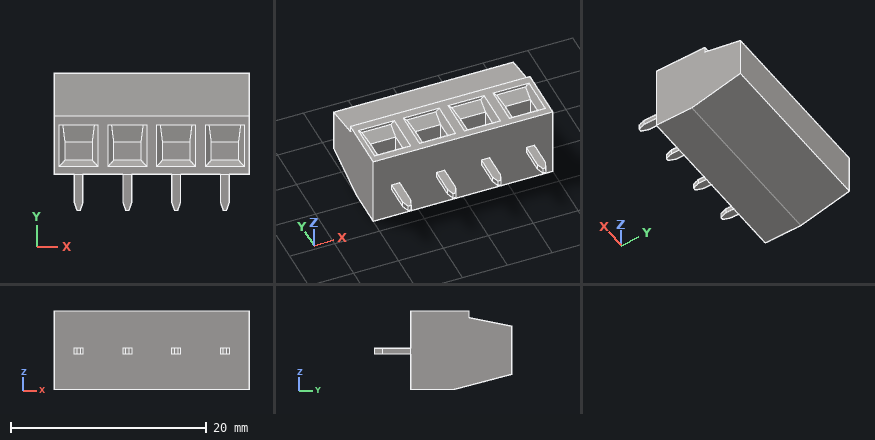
import cadquery as cq

pole_count = 4
pitch = 5.0
length = pole_count * pitch
depth = 10.4
height = 8.1
ridge_depth = 6.0
step_height = 0.7
base_depth = 4.4
rear_setback = 1.58

entry_width = 4.0
entry_front = 0.8
entry_length = 4.28
side_inset = 0.6
front_inset = 0.65
throat_length = 1.85
ledge_start = 0.38
funnel_depth = 0.6
throat_depth = 4.0

pin_width = 0.9
pin_thickness = 0.6
pin_length = 3.7
pin_tip_length = 0.8
pin_tip_width = 0.35
pin_center_z = 3.95

pole_centers = [pitch * (pole + 0.5) for pole in range(pole_count)]


def make_housing():
    profile = [
        (0, 0),
        (base_depth, 0),
        (depth, rear_setback),
        (depth, height - rear_setback),
        (ridge_depth, height - step_height),
        (ridge_depth, height),
        (0, height),
    ]
    return cq.Workplane("YZ").polyline(profile).close().extrude(length)


def make_entry(center_x):
    """Solid to cut: a funnel with a sloped rear ledge above a straight throat."""
    entry_back = entry_front + entry_length
    throat_front = entry_front + front_inset
    throat_back = throat_front + throat_length
    throat_width = entry_width - 2 * side_inset

    funnel_mid_y = (entry_front + entry_back) / 2
    throat_mid_y = (throat_front + entry_back) / 2
    funnel = (
        cq.Workplane("XY", origin=(center_x, funnel_mid_y, height))
        .rect(entry_width, entry_length)
        .workplane(offset=-funnel_depth)
        .center(0, throat_mid_y - funnel_mid_y)
        .rect(throat_width, entry_back - throat_front)
        .loft(ruled=True)
    )
    ledge_profile = [
        (entry_front, height),
        (entry_back, height),
        (entry_back, height - ledge_start),
        (throat_back, height - funnel_depth),
        (entry_front, height - funnel_depth),
    ]
    ledge_trim = (
        cq.Workplane("YZ", origin=(center_x - entry_width / 2, 0, 0))
        .polyline(ledge_profile)
        .close()
        .extrude(entry_width)
    )
    throat = (
        cq.Workplane("XY", origin=(center_x, throat_front, height - throat_depth))
        .box(throat_width, throat_length, throat_depth - funnel_depth, centered=(True, False, False))
    )
    return funnel.intersect(ledge_trim).union(throat)


def make_pin(center_x):
    half_width = pin_width / 2
    half_tip = pin_tip_width / 2
    shoulder_y = pin_tip_length - pin_length
    outline = [
        (-half_width, 0),
        (-half_width, shoulder_y),
        (-half_tip, -pin_length),
        (half_tip, -pin_length),
        (half_width, shoulder_y),
        (half_width, 0),
    ]
    return (
        cq.Workplane("XY", origin=(center_x, 0, pin_center_z - pin_thickness / 2))
        .polyline(outline)
        .close()
        .extrude(pin_thickness)
    )


result = make_housing()
for pole_x in pole_centers:
    result = result.cut(make_entry(pole_x)).union(make_pin(pole_x))